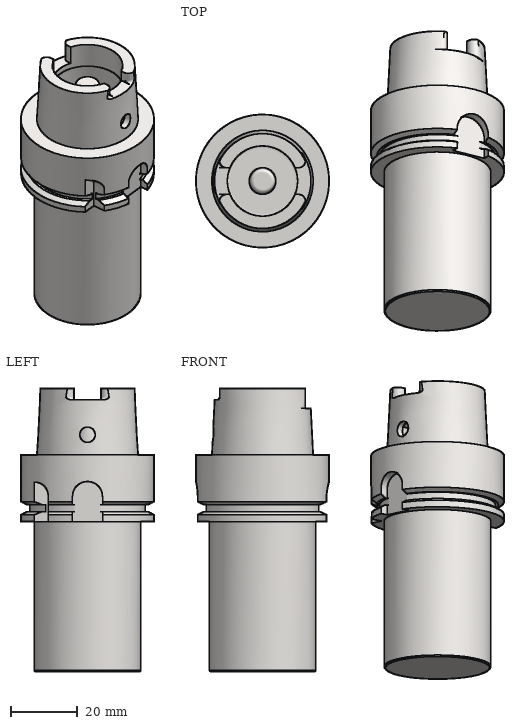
import cadquery as cq
import math


BODY_DIA = 32.0
BODY_BOTTOM_Z = -65.0
BODY_CHAMFER = 0.4
FLANGE_DIA = 39.95
FLANGE_HEIGHT = 20.0

GROOVE_Z = -16.0
GROOVE_FLOOR_DIA = 34.7
GROOVE_FLOOR_WIDTH = 2.1
GROOVE_MOUTH_WIDTH = 4.0
GROOVE_SHOULDER_DIA = 36.4

SHANK_TOP_Z = 19.9
SHANK_BASE_DIA = 30.4
SHANK_TOP_DIA = 28.4

BORE_DIA = 21.04
BORE_DEPTH = 8.0
CHAMBER_DIA = 25.57
CLAMP_CONE_ANGLE = 60.0
CHAMBER_FLOOR_Z = 1.2
CHAMBER_FILLET = 3.0

PIN_BASE_DIA = 8.0
PIN_TOP_DIA = 7.1
PIN_TOP_Z = 13.5
PIN_FILLET = 1.0

ACCESS_HOLE_DIA = 4.6
ACCESS_HOLE_Z = 6.0

DRIVE_SLOT_WIDTH = 8.0
DRIVE_SLOT_DEPTH_MINUS_X = 3.4
DRIVE_SLOT_DEPTH_PLUS_X = 6.0
DRIVE_ROUND_RADIUS = 2.0
DRIVE_ROUND_CENTRE_X = 10.85
DRIVE_COVE_RADIUS = 0.8

KEYWAY_TOP_Z = -8.0
KEYWAY_FLOOR_X = 16.9
KEYWAY_WIDTH_MINUS_X = 9.0
KEYWAY_WIDTH_PLUS_X = 11.2
NOTCH_WIDTH = 8.0
NOTCH_FLOOR_X = 12.0
NOTCH_Y = 15.8
NOTCH_TOP_Z = -8.2

OVERCUT = 5.0


def make_turned_blank():
    """Body, grooved flange and taper shank as one revolved outline."""
    flange_r = FLANGE_DIA / 2
    floor_r = GROOVE_FLOOR_DIA / 2
    shoulder_r = GROOVE_SHOULDER_DIA / 2
    floor_half = GROOVE_FLOOR_WIDTH / 2
    mouth_half = GROOVE_MOUTH_WIDTH / 2
    outline = [
        (0, BODY_BOTTOM_Z),
        (BODY_DIA / 2 - BODY_CHAMFER, BODY_BOTTOM_Z),
        (BODY_DIA / 2, BODY_BOTTOM_Z + BODY_CHAMFER),
        (BODY_DIA / 2, -FLANGE_HEIGHT),
        (flange_r, -FLANGE_HEIGHT),
        (flange_r, GROOVE_Z - mouth_half),
        (shoulder_r, GROOVE_Z - floor_half),
        (floor_r, GROOVE_Z - floor_half),
        (floor_r, GROOVE_Z + floor_half),
        (shoulder_r, GROOVE_Z + floor_half),
        (flange_r, GROOVE_Z + mouth_half),
        (flange_r, 0),
        (SHANK_BASE_DIA / 2, 0),
        (SHANK_TOP_DIA / 2, SHANK_TOP_Z),
        (0, SHANK_TOP_Z),
    ]
    return cq.Workplane("XZ").polyline(outline).close().revolve(360, (0, 0), (0, 1))


def make_cavity():
    """Hollow of the shank, including the space above the centre pin."""
    bore_r = BORE_DIA / 2
    chamber_r = CHAMBER_DIA / 2
    lip_z = SHANK_TOP_Z - BORE_DEPTH
    cone_end_z = lip_z - (chamber_r - bore_r) / math.tan(math.radians(CLAMP_CONE_ANGLE))
    return (
        cq.Workplane("XZ")
        .moveTo(0, CHAMBER_FLOOR_Z)
        .lineTo(chamber_r - CHAMBER_FILLET, CHAMBER_FLOOR_Z)
        .radiusArc((chamber_r, CHAMBER_FLOOR_Z + CHAMBER_FILLET), -CHAMBER_FILLET)
        .lineTo(chamber_r, cone_end_z)
        .lineTo(bore_r, lip_z)
        .lineTo(bore_r, SHANK_TOP_Z)
        .lineTo(0, SHANK_TOP_Z)
        .close()
        .revolve(360, (0, 0), (0, 1))
    )


def make_pin():
    """Slightly tapered centre pin with a rounded top edge."""
    outline = [
        (0, CHAMBER_FLOOR_Z),
        (PIN_BASE_DIA / 2, CHAMBER_FLOOR_Z),
        (PIN_TOP_DIA / 2, PIN_TOP_Z),
        (0, PIN_TOP_Z),
    ]
    pin = cq.Workplane("XZ").polyline(outline).close().revolve(360, (0, 0), (0, 1))
    return pin.faces(">Z").edges().fillet(PIN_FILLET)


def make_access_hole():
    """Radial hole from the cavity out through the -X side."""
    return (
        cq.Workplane("YZ", origin=(-BORE_DIA / 2, 0, ACCESS_HOLE_Z))
        .circle(ACCESS_HOLE_DIA / 2)
        .extrude(-SHANK_BASE_DIA / 2)
    )


def make_drive_slot(depth, cove_radius=0.0):
    """Drive slot on the +X side, with outward-flaring rounded outer corners.

    A cove radius blends the flared corners into the slot floor.
    """
    half_width = DRIVE_SLOT_WIDTH / 2
    centre_y = half_width + DRIVE_ROUND_RADIUS
    outer_x = SHANK_BASE_DIA / 2 + OVERCUT
    floor_z = SHANK_TOP_Z - depth

    end_angle = math.atan2(centre_y, DRIVE_ROUND_CENTRE_X)

    def on_arc(angle):
        return (
            DRIVE_ROUND_CENTRE_X + DRIVE_ROUND_RADIUS * math.cos(angle),
            centre_y + DRIVE_ROUND_RADIUS * math.sin(angle),
        )

    arc_start = on_arc(-math.pi / 2)
    arc_middle = on_arc((end_angle - math.pi / 2) / 2)
    arc_end = on_arc(end_angle)
    tangent_end = (
        arc_end[0] - OVERCUT * math.sin(end_angle),
        arc_end[1] + OVERCUT * math.cos(end_angle),
    )
    flare = (
        cq.Workplane("XY", origin=(0, 0, floor_z))
        .moveTo(DRIVE_ROUND_CENTRE_X, 0)
        .lineTo(*arc_start)
        .threePointArc(arc_middle, arc_end)
        .lineTo(*tangent_end)
        .lineTo(outer_x, tangent_end[1])
        .lineTo(outer_x, 0)
        .close()
        .extrude(depth)
    )
    if cove_radius:
        arc_edge = cq.selectors.NearestToPointSelector((*arc_middle, floor_z))
        flare = flare.edges(arc_edge).fillet(cove_radius)

    slot = cq.Workplane("XY", origin=(0, 0, floor_z)).box(
        outer_x, DRIVE_SLOT_WIDTH, depth, centered=(False, True, False)
    )
    return slot.union(flare).union(flare.mirror("XZ"))


def make_keyway(width, floor_x, top_z, centre_y=0.0):
    """Round-topped keyway cutter on the +X side, open at the flange's lower face."""
    radius = width / 2
    arc_centre_z = top_z - radius
    return (
        cq.Workplane("YZ", origin=(floor_x, 0, 0))
        .moveTo(centre_y - radius, -FLANGE_HEIGHT)
        .lineTo(centre_y - radius, arc_centre_z)
        .threePointArc((centre_y, top_z), (centre_y + radius, arc_centre_z))
        .lineTo(centre_y + radius, -FLANGE_HEIGHT)
        .close()
        .extrude(FLANGE_DIA / 2)
    )


result = make_turned_blank().cut(make_cavity()).union(make_pin()).cut(make_access_hole())

result = result.cut(make_drive_slot(DRIVE_SLOT_DEPTH_PLUS_X))
result = result.cut(make_drive_slot(DRIVE_SLOT_DEPTH_MINUS_X, DRIVE_COVE_RADIUS).mirror("YZ"))

result = result.cut(make_keyway(KEYWAY_WIDTH_PLUS_X, KEYWAY_FLOOR_X, KEYWAY_TOP_Z))
result = result.cut(make_keyway(KEYWAY_WIDTH_MINUS_X, KEYWAY_FLOOR_X, KEYWAY_TOP_Z).mirror("YZ"))
result = result.cut(make_keyway(NOTCH_WIDTH, NOTCH_FLOOR_X, NOTCH_TOP_Z, NOTCH_Y).mirror("YZ"))